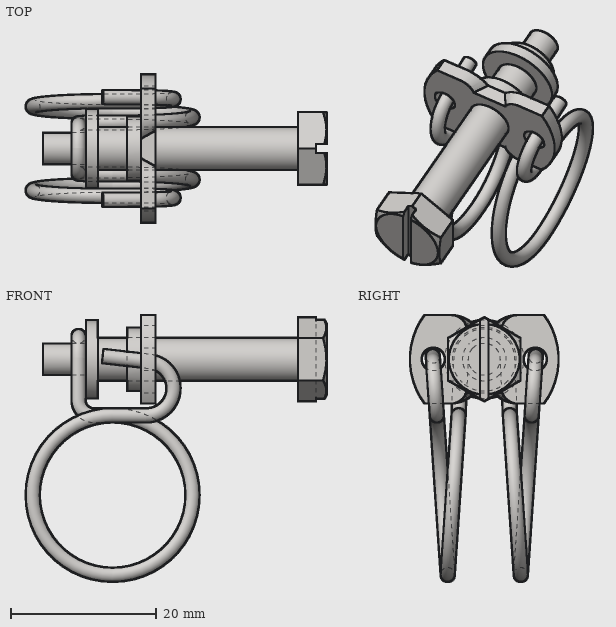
import cadquery as cq
import math


shank_radius = 3.0
tip_radius = 2.2
tip_end_x = -9.57
head_x = 25.45
head_end_x = 29.47
head_across_flats = 10.05
head_chamfer_radius = 4.85
head_chamfer_angle = 30
slot_width = 1.2
slot_depth = 1.5
flange_radius = 5.45
flange_x = -3.7
flange_thickness = 1.65

plate_x = 3.9
plate_thickness = 2.05
plate_width = 20.48
plate_height = 12.2
collar_radius = 4.4
collar_length = 1.9
wire_hole_radius = 1.58
wire_hole_y = 7.0
notch_half_width = 4.6
notch_floor_z = 4.65
notch_front_radius = 4.4
notch_back_radius = 2.3

wire_radius = 1.0
ring_radius = 11.0
ring_top_z = -7.7
elbow_radius = 2.07
hook_radius = 3.75
hook_start_x = 4.65
hook_end_x = -1.35
hook_end_rise = 6.5
leg_tilt = 2.5
ring_tilt = 3.9
saddle_radius = tip_radius + wire_radius
leg_x = flange_x - wire_radius


def x_cylinder(start_x, length, radius):
    return cq.Workplane("YZ", origin=(start_x, 0, 0)).circle(radius).extrude(length)


def make_head():
    length = head_end_x - head_x
    corner_radius = head_across_flats / 2 / math.cos(math.radians(30))
    corner_drop = (corner_radius - head_chamfer_radius) * math.tan(math.radians(head_chamfer_angle))
    hexagon = (
        cq.Workplane("YZ", origin=(head_x, 0, 0))
        .polygon(6, 2 * corner_radius)
        .extrude(length)
        .rotate((0, 0, 0), (1, 0, 0), 90)
    )
    envelope = (
        cq.Workplane("XY")
        .moveTo(head_x, 0)
        .lineTo(head_x, corner_radius)
        .lineTo(head_end_x - corner_drop, corner_radius)
        .lineTo(head_end_x, head_chamfer_radius)
        .lineTo(head_end_x, 0)
        .close()
        .revolve(360, (0, 0, 0), (1, 0, 0))
    )
    slot = cq.Workplane("XY").box(2 * slot_depth, slot_width, 3 * corner_radius)
    return hexagon.intersect(envelope).cut(slot.translate((head_end_x, 0, 0)))


def make_screw():
    tip = x_cylinder(tip_end_x, flange_x - tip_end_x, tip_radius)
    flange = x_cylinder(flange_x, flange_thickness, flange_radius)
    shank = x_cylinder(flange_x, head_x - flange_x, shank_radius)
    return shank.union(tip).union(flange).union(make_head())


def notch_profile(workplane, flank_radius):
    """Notch outline whose rounded flanks leave the plate edge tangentially."""
    edge_z = plate_height / 2
    drop = edge_z - notch_floor_z
    turn = math.acos(1 - drop / flank_radius)
    floor_y = notch_half_width - flank_radius * math.sin(turn)
    middle_y = notch_half_width - flank_radius * math.sin(turn / 2)
    middle_z = edge_z - flank_radius * (1 - math.cos(turn / 2))
    return (
        workplane.moveTo(-notch_half_width, edge_z)
        .threePointArc((-middle_y, middle_z), (-floor_y, notch_floor_z))
        .lineTo(floor_y, notch_floor_z)
        .threePointArc((middle_y, middle_z), (notch_half_width, edge_z))
        .close()
    )


def make_notch():
    front = notch_profile(cq.Workplane("YZ", origin=(plate_x, 0, 0)), notch_front_radius)
    back = notch_profile(front.workplane(offset=plate_thickness), notch_back_radius)
    return back.loft(ruled=True)


def make_plate():
    disc = x_cylinder(plate_x, plate_thickness, plate_width / 2)
    band = cq.Workplane("XY").box(plate_thickness, plate_width, plate_height)
    plate = disc.intersect(band.translate((plate_x + plate_thickness / 2, 0, 0)))
    notch = make_notch()
    plate = plate.cut(notch).cut(notch.mirror("XY"))
    for side in (-1, 1):
        hole = x_cylinder(plate_x, plate_thickness, wire_hole_radius)
        plate = plate.cut(hole.translate((0, side * wire_hole_y, 0)))
    plate = plate.union(x_cylinder(plate_x - collar_length, collar_length, collar_radius))
    return plate.cut(x_cylinder(plate_x - collar_length, collar_length + plate_thickness, shank_radius))


def tilted_up(angle):
    """Unit vector along Z that leans towards +Y by the angle in degrees."""
    return cq.Vector(0, math.sin(math.radians(angle)), math.cos(math.radians(angle)))


def bend(center, up, radius, start_angle, turn):
    """Arc in the plane of X and the up vector, with angles in degrees from +X towards up."""

    def point(angle):
        radians = math.radians(angle)
        return center + cq.Vector(radius * math.cos(radians), 0, 0) + up * (radius * math.sin(radians))

    return cq.Edge.makeThreePointArc(
        point(start_angle), point(start_angle + turn / 2), point(start_angle + turn)
    )


def run_along_x(start, end_x):
    return cq.Edge.makeLine(start, cq.Vector(end_x, start.y, start.z))


def half_wire_path():
    """Wire centre line on the +Y side, from the saddle over the screw tip to the free end."""
    leg_up = tilted_up(-leg_tilt)
    inner_up = tilted_up(-ring_tilt)
    outer_up = tilted_up(ring_tilt)

    def saddle_point(angle):
        radians = math.radians(angle)
        return cq.Vector(leg_x, saddle_radius * math.cos(radians), saddle_radius * math.sin(radians))

    saddle = cq.Edge.makeThreePointArc(saddle_point(90), saddle_point(45), saddle_point(leg_tilt))

    leg_start = saddle.endPoint()
    leg_length = (leg_start.z - ring_top_z) / leg_up.z - elbow_radius
    leg_end = leg_start - leg_up * leg_length
    leg = cq.Edge.makeLine(leg_start, leg_end)
    elbow = bend(leg_end + cq.Vector(elbow_radius, 0, 0), leg_up, elbow_radius, 180, 90)
    run_in = run_along_x(elbow.endPoint(), 0)

    ring_down = bend(run_in.endPoint() - inner_up * ring_radius, inner_up, ring_radius, 90, -180)
    ring_up = bend(ring_down.endPoint() + outer_up * ring_radius, outer_up, ring_radius, -90, -180)
    run_out = run_along_x(ring_up.endPoint(), hook_start_x)

    hook_turn = 180 - hook_end_rise
    hook = bend(run_out.endPoint() + outer_up * hook_radius, outer_up, hook_radius, -90, hook_turn)
    end_start = hook.endPoint()
    end_run = end_start.x - hook_end_x
    end_lift = end_run * math.tan(math.radians(hook_end_rise))
    free_end = cq.Edge.makeLine(end_start, end_start + cq.Vector(-end_run, 0, 0) + outer_up * end_lift)
    return cq.Wire.assembleEdges(
        [saddle, leg, elbow, run_in, ring_down, ring_up, run_out, hook, free_end]
    )


def make_wire():
    path = half_wire_path()
    start_plane = cq.Plane(origin=(leg_x, 0, saddle_radius), xDir=(1, 0, 0), normal=(0, 1, 0))
    half = cq.Workplane(start_plane).circle(wire_radius).sweep(path)
    return half.union(half.mirror("XZ"))


screw = make_screw()
plate = make_plate()
wire = make_wire()

result = cq.Compound.makeCompound([body.solids().val() for body in (screw, plate, wire)])